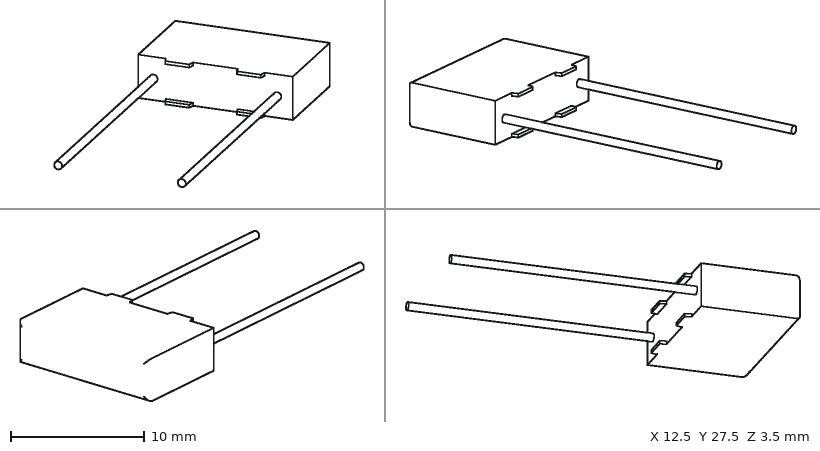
import cadquery as cq

case_width = 12.5
case_length = 8.0
case_thickness = 3.5
edge_radius = 0.5

tab_spacing = 5.8
tab_base_width = 2.2
tab_tip_width = 1.95
tab_length = 0.5
tab_thickness = 0.25

lead_spacing = 10.0
lead_diameter = 0.65
lead_length = 19.5


def make_tab(center_x, bottom_z):
    """Tapered standoff that projects from the lead end, in the -Y direction."""
    return (
        cq.Workplane("XY", origin=(center_x, 0, bottom_z))
        .moveTo(-tab_base_width / 2, 0)
        .lineTo(-tab_tip_width / 2, -tab_length)
        .lineTo(tab_tip_width / 2, -tab_length)
        .lineTo(tab_base_width / 2, 0)
        .close()
        .extrude(tab_thickness)
    )


def make_case():
    """Box with its lead end at Y = 0, a rounded far end and four standoff tabs."""
    case = (
        cq.Workplane("XY")
        .box(case_width, case_length, case_thickness, centered=(True, False, True))
        .faces(">Y")
        .edges()
        .fillet(edge_radius)
    )
    for center_x in (-tab_spacing / 2, tab_spacing / 2):
        for bottom_z in (-case_thickness / 2, case_thickness / 2 - tab_thickness):
            case = case.union(make_tab(center_x, bottom_z))
    return case


def make_lead(center_x):
    """Straight round wire that starts on the lead end of the case."""
    return (
        cq.Workplane("XZ", origin=(center_x, 0, 0))
        .circle(lead_diameter / 2)
        .extrude(lead_length)
    )


case = make_case()
leads = [make_lead(center_x) for center_x in (-lead_spacing / 2, lead_spacing / 2)]

result = cq.Compound.makeCompound([case.val(), *[lead.val() for lead in leads]])